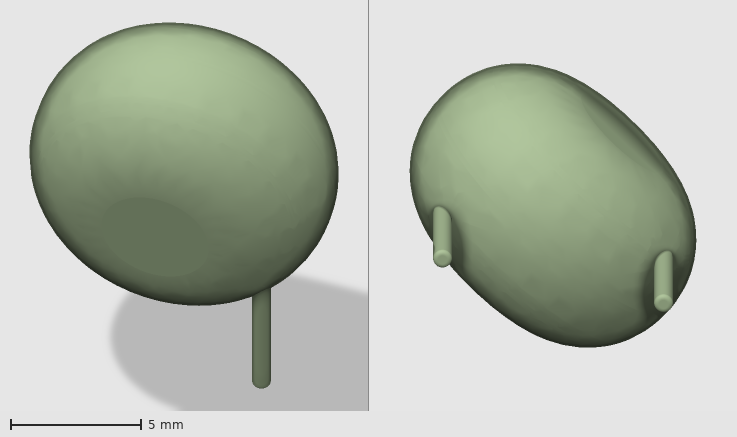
import cadquery as cq

body_diameter = 12.0
body_thickness = 7.9
edge_radius = 3.85

total_height = 15.03
pin_diameter = 0.72
pin_offset_x = 3.74
pin_offset_y = 2.2
pin_tip_radius = 0.18

body_radius = body_diameter / 2
pin_bottom_z = body_radius - total_height


def make_body():
    """Disc with both circular edges heavily rounded."""
    back_face = cq.Workplane("XZ", origin=(0, body_thickness / 2, 0))
    disc = back_face.circle(body_radius).extrude(body_thickness)
    return disc.edges("%CIRCLE").fillet(edge_radius)


def make_pin(x, y):
    """Pin with a rounded tip, rising to mid-height inside the body."""
    pin = cq.Workplane("XY", origin=(x, y, pin_bottom_z)).circle(pin_diameter / 2).extrude(-pin_bottom_z)
    return pin.faces("<Z").edges().fillet(pin_tip_radius)


result = make_body()
for side in (-1, 1):
    result = result.union(make_pin(side * pin_offset_x, -side * pin_offset_y))